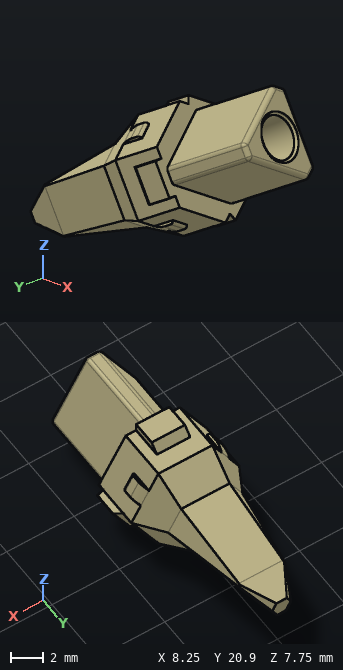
import cadquery as cq
import math

LENGTH = 20.9
COLLAR_FRONT = 6.69
COLLAR_BACK = 10.28
SHOULDER_END = 12.5

COLLAR_APOTHEM = 3.47
LUG_FACE_SHOULDER = 2.15
LUG_FACE_BREAK = 1.07
LUG_FACE_TIP = 0.59
LUG_FACE_BREAK_Y = 18.62
LATCH_FACE_SHOULDER = 2.63
LATCH_FACE_BREAK = 1.95
LATCH_FACE_TIP = 0.63
LATCH_FACE_BREAK_Y = 18.73

STEM_WIDE_APOTHEM = 2.11
STEM_CORNER_APOTHEM = 3.32
STEM_FILLET = 0.31

SOCKET_RADIUS = 1.45
SOCKET_FLOOR_RADIUS = 0.82
SOCKET_DEPTH = 10.45
SOCKET_LIP = 0.19

LUG_HEIGHT = 4.05
LUG_WIDTH = 2.47
LUG_RAMP_START = 8.4
LUG_RAMP_LENGTH = LUG_HEIGHT - COLLAR_APOTHEM

LATCH_HEIGHT = 3.7
LATCH_WIDTH = 1.23
LATCH_FRONT = 8.65
LATCH_NOSE_RADIUS = 0.2
LATCH_CREST_BACK = 9.45
LATCH_RAMP_BULGE = 0.031
ROOT = 0.63


def triangle(y, apothem, side):
    """Triangle across the Y axis with one edge facing +Z (side = 1) or -Z (side = -1)."""
    half_edge = apothem * math.sqrt(3)
    points = [
        (-half_edge, side * apothem),
        (half_edge, side * apothem),
        (0, -2 * side * apothem),
    ]
    return cq.Workplane("XZ", origin=(0, y, 0)).polyline(points).close()


def tapered_triangle(stations, side):
    """Stack of triangular frusta through the given (y, apothem) stations."""
    body = None
    for (y0, apothem0), (y1, apothem1) in zip(stations, stations[1:]):
        wires = [
            triangle(y0, apothem0, side).wire().val(),
            triangle(y1, apothem1, side).wire().val(),
        ]
        segment = cq.Workplane(obj=cq.Solid.makeLoft(wires, True))
        body = segment if body is None else body.union(segment)
    return body


def around_axis(body):
    """Three copies of a body, a third of a turn apart about Y."""
    copies = body
    for angle in (120, 240):
        copies = copies.union(body.rotate((0, 0, 0), (0, 1, 0), angle))
    return copies


def make_nose():
    """Hexagonal collar, shoulder and tapering tip as two crossed triangular bodies."""
    lug_faces = [
        (COLLAR_FRONT, COLLAR_APOTHEM),
        (COLLAR_BACK, COLLAR_APOTHEM),
        (SHOULDER_END, LUG_FACE_SHOULDER),
        (LUG_FACE_BREAK_Y, LUG_FACE_BREAK),
        (LENGTH, LUG_FACE_TIP),
    ]
    latch_faces = [
        (COLLAR_FRONT, COLLAR_APOTHEM),
        (COLLAR_BACK, COLLAR_APOTHEM),
        (SHOULDER_END, LATCH_FACE_SHOULDER),
        (LATCH_FACE_BREAK_Y, LATCH_FACE_BREAK),
        (LENGTH, LATCH_FACE_TIP),
    ]
    return tapered_triangle(lug_faces, 1).intersect(tapered_triangle(latch_faces, -1))


def make_stem():
    """Stem with rounded long edges and a rounded end."""
    wide = triangle(0, STEM_WIDE_APOTHEM, -1).extrude(-COLLAR_FRONT)
    corners = triangle(0, STEM_CORNER_APOTHEM, 1).extrude(-COLLAR_FRONT)
    stem = wide.intersect(corners)
    return stem.edges("|Y or <Y").fillet(STEM_FILLET)


def make_socket():
    """Round socket, tapering to a flat floor, with a rounded lip."""
    profile = (
        cq.Workplane("XY")
        .lineTo(SOCKET_RADIUS + SOCKET_LIP, 0)
        .radiusArc((SOCKET_RADIUS, SOCKET_LIP), -SOCKET_LIP)
        .lineTo(SOCKET_FLOOR_RADIUS, SOCKET_DEPTH)
        .lineTo(0, SOCKET_DEPTH)
        .close()
    )
    return profile.revolve(360, (0, 0, 0), (0, 1, 0))


def make_lugs():
    """Rectangular lugs flush with the collar front, ramped at the back."""
    base = COLLAR_APOTHEM - ROOT
    profile = [
        (COLLAR_FRONT, base),
        (COLLAR_FRONT, LUG_HEIGHT),
        (LUG_RAMP_START, LUG_HEIGHT),
        (LUG_RAMP_START + LUG_RAMP_LENGTH, COLLAR_APOTHEM),
        (LUG_RAMP_START + LUG_RAMP_LENGTH, base),
    ]
    lug = cq.Workplane("YZ").polyline(profile).close().extrude(LUG_WIDTH / 2, both=True)
    return around_axis(lug)


def make_latches():
    """Small latches with a rounded nose and a curved ramp rising from the collar's back edge."""
    base = COLLAR_APOTHEM - ROOT
    ramp_middle = (
        (LATCH_CREST_BACK + COLLAR_BACK) / 2,
        -(LATCH_HEIGHT + COLLAR_APOTHEM) / 2 - LATCH_RAMP_BULGE,
    )
    latch = (
        cq.Workplane("YZ")
        .moveTo(LATCH_FRONT, -base)
        .lineTo(LATCH_FRONT, -LATCH_HEIGHT + LATCH_NOSE_RADIUS)
        .radiusArc((LATCH_FRONT + LATCH_NOSE_RADIUS, -LATCH_HEIGHT), -LATCH_NOSE_RADIUS)
        .lineTo(LATCH_CREST_BACK, -LATCH_HEIGHT)
        .threePointArc(ramp_middle, (COLLAR_BACK, -COLLAR_APOTHEM))
        .lineTo(COLLAR_BACK, -base)
        .close()
        .extrude(LATCH_WIDTH / 2, both=True)
    )
    return around_axis(latch)


body = make_nose().union(make_stem())
body = body.union(make_lugs()).union(make_latches())
result = body.cut(make_socket())